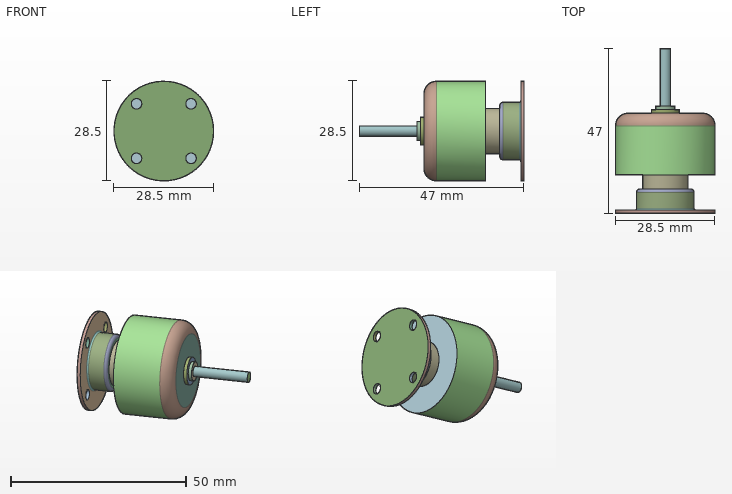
import cadquery as cq
import math

plate_thickness = 1.0
collar_end = 7.0
body_start = 11.0
body_end = 28.6
step_length = 1.0
large_step_end = body_end + step_length
small_step_end = large_step_end + step_length
overall_length = 47.0

outer_radius = 28.5 / 2
collar_radius = 16.5 / 2
neck_radius = 13.0 / 2
large_step_radius = 8.0 / 2
small_step_radius = 5.5 / 2
stem_radius = 3.0 / 2

body_round = 3.6
collar_round = 1.0
root_round = 0.4

hole_diameter = 3.0
hole_circle_radius = 11.0
hole_count = 4
first_hole_angle = 45.0

mid_arc = math.sqrt(0.5)


def quarter_arc(sketch, center, radius, mid_direction, end):
    """Add a quarter arc about center, bulging along the diagonal mid_direction."""
    middle = (
        center[0] + mid_direction[0] * radius * mid_arc,
        center[1] + mid_direction[1] * radius * mid_arc,
    )
    return sketch.threePointArc(middle, end)


def turned_body():
    """Revolve the half profile (radius along X, station along Y) about the Y axis."""
    profile = cq.Workplane("XY").lineTo(outer_radius, 0).lineTo(outer_radius, plate_thickness)

    root_center = (collar_radius + root_round, plate_thickness + root_round)
    profile = profile.lineTo(root_center[0], plate_thickness)
    profile = quarter_arc(profile, root_center, root_round, (-1, -1), (collar_radius, root_center[1]))
    collar_center = (collar_radius - collar_round, collar_end - collar_round)
    profile = profile.lineTo(collar_radius, collar_center[1])
    profile = quarter_arc(profile, collar_center, collar_round, (1, 1), (collar_center[0], collar_end))

    profile = profile.lineTo(neck_radius, collar_end).lineTo(neck_radius, body_start)
    profile = profile.lineTo(outer_radius, body_start)
    body_center = (outer_radius - body_round, body_end - body_round)
    profile = profile.lineTo(outer_radius, body_center[1])
    profile = quarter_arc(profile, body_center, body_round, (1, 1), (body_center[0], body_end))

    profile = profile.lineTo(large_step_radius, body_end).lineTo(large_step_radius, large_step_end)
    profile = profile.lineTo(small_step_radius, large_step_end).lineTo(small_step_radius, small_step_end)
    profile = profile.lineTo(stem_radius, small_step_end).lineTo(stem_radius, overall_length)
    profile = profile.lineTo(0, overall_length).close()
    return profile.revolve(360, (0, 0), (0, 1))


def mounting_holes():
    """Ring of cylindrical cutters through the plate."""
    return (
        cq.Workplane("XZ")
        .polarArray(hole_circle_radius, first_hole_angle, 360, hole_count)
        .circle(hole_diameter / 2)
        .extrude(-plate_thickness)
    )


result = turned_body().cut(mounting_holes())